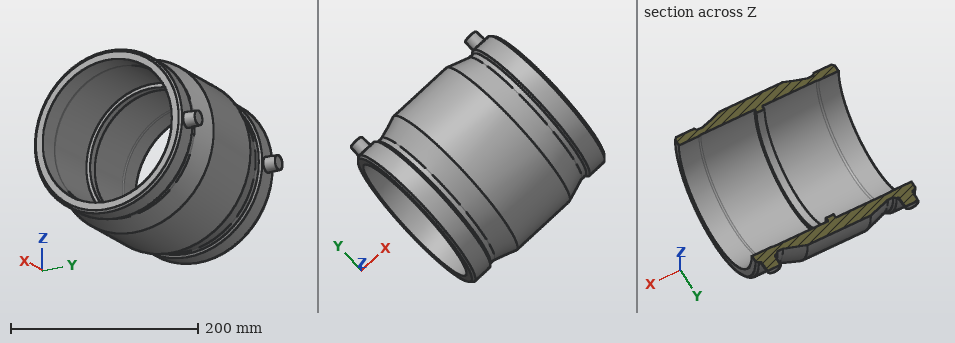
import cadquery as cq

length = 195.0
body_radius = 194 / 2
collar_radius = 182.5 / 2
neck_radius = 177.0 / 2
mouth_radius = 160.0 / 2
stop_radius = 152.0 / 2

collar_chamfer = 2.6
collar_end = 24.5
neck_start = 27.0
neck_end = 33.5
body_start = 59.0

mouth_depth = 24.5
mouth_taper_end = 27.0
cavity_radius = 80.5
stop_width = 9.7

pin_tip_radius = 8.0
pin_foot_radius = 8.9
pin_tip = 202 - body_radius
pin_offset = 13.5
pin_sink = 4.0

half_length = length / 2


def revolve_about_axis(left_half):
    """Revolve a half outline, mirrored at X = 0, into a solid about the X axis."""
    right_half = [(-x, r) for x, r in reversed(left_half)]
    outline = [(-half_length, 0)] + left_half + right_half + [(half_length, 0)]
    return cq.Workplane("XY").polyline(outline).close().revolve(360, (0, 0, 0), (1, 0, 0))


def make_shell():
    """Solid outer shape: chamfered collar, neck, cone and body."""
    return revolve_about_axis([
        (-half_length, neck_radius),
        (-half_length + collar_chamfer, collar_radius),
        (-half_length + collar_end, collar_radius),
        (-half_length + neck_start, neck_radius),
        (-half_length + neck_end, neck_radius),
        (-half_length + body_start, body_radius),
    ])


def make_bore():
    """Hollow inside: mouth, slightly wider cavity and the opening of the stop ring."""
    return revolve_about_axis([
        (-half_length, mouth_radius),
        (-half_length + mouth_depth, mouth_radius),
        (-half_length + mouth_taper_end, cavity_radius),
        (-stop_width / 2, cavity_radius),
        (-stop_width / 2, stop_radius),
    ])


def make_pin(x):
    """Tapered round pin whose foot is sunk into the collar."""
    foot = collar_radius - pin_sink
    outline = [
        (x, foot),
        (x + pin_foot_radius, foot),
        (x + pin_tip_radius, pin_tip),
        (x, pin_tip),
    ]
    return cq.Workplane("XY").polyline(outline).close().revolve(360, (x, 0, 0), (x, 1, 0))


result = make_shell()
for side in (-1, 1):
    result = result.union(make_pin(side * (half_length - pin_offset)))
result = result.cut(make_bore())